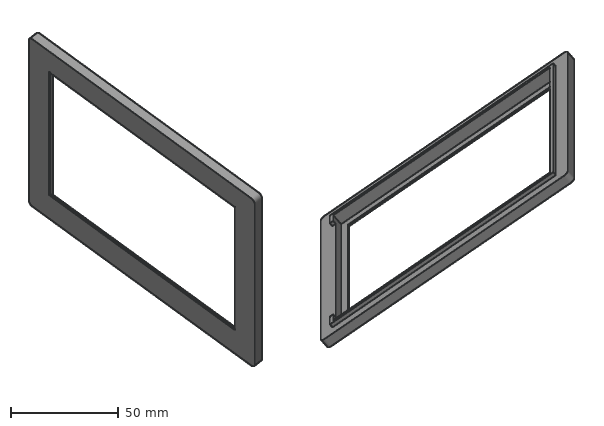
import cadquery as cq

plate_width = 146.0
plate_height = 120.0
plate_thickness = 5.0
corner_radius = 2.5

window_width = 120.0
window_height = 88.0
window_center_z = 1.0
front_wall = 1.0

lip_width = 132.0
lip_height = 106.0
lip_center_z = -1.0
lip_depth = 2.0
lip_wall = 2.0

gap_height = 91.0

total_depth = plate_thickness + lip_depth
pocket_width = lip_width - 2 * lip_wall
pocket_height = lip_height - 2 * lip_wall


def block(width, height, y_start, y_end, center_x=0.0, center_z=0.0):
    """Rectangular block centred in X and Z, spanning y_start to y_end."""
    depth = y_end - y_start
    center = (center_x, y_start + depth / 2, center_z)
    return cq.Workplane("XY").box(width, depth, height).translate(center)


def make_plate():
    plate = block(plate_width, plate_height, 0, plate_thickness)
    return plate.edges("|Y").fillet(corner_radius)


def make_lip():
    return block(lip_width, lip_height, plate_thickness, total_depth, center_z=lip_center_z)


def make_pocket():
    return block(pocket_width, pocket_height, front_wall, total_depth, center_z=lip_center_z)


def make_window():
    return block(window_width, window_height, 0, front_wall, center_z=window_center_z)


def make_lip_gap():
    gap_center_x = (lip_width - lip_wall) / 2
    return block(lip_wall, gap_height, plate_thickness, total_depth, gap_center_x, lip_center_z)


result = make_plate().union(make_lip())
result = result.cut(make_pocket()).cut(make_window()).cut(make_lip_gap())